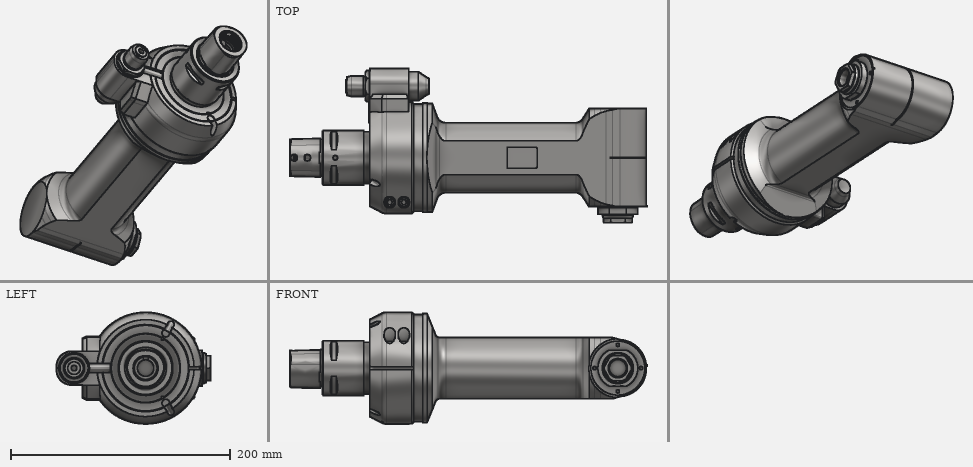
import cadquery as cq
import math


polygon_radius = 17.7
polygon_lobe = 0.9
polygon_taper = 1.4
polygon_length = 28.0
polygon_chamfer = 1.2
flange_start = 29.7
flange_end = 67.5
flange_radius = 25.0
flange_chamfer = 1.0
undercut_radius = 17.0
undercut_overlap = 1.0
face_relief_radius = 19.0
face_relief_depth = 0.8
neck_radius = 23.7
neck_engagement = 8.0

bore_radius = 10.5
bore_mouth_radius = 11.5
bore_depth = 14.0
bore_groove_radius = 11.3
bore_groove_width = 1.5
bore_groove_places = (3.5, 6.5, 9.5)
bore_end_radius = 7.5
bore_end_depth = 25.0

shank_hole_diameter = 6.0
shank_hole_places = (3.9, 16.0)
flange_hole_diameter = 4.2
flange_hole_x = 41.5
flange_hole_depth = 4.0

gripper_x = 40.2
gripper_floor_width = 4.0
gripper_mouth_width = 7.0
gripper_floor_distance = 22.1

collar_start = 72.7
collar_end = 113.2
collar_radius = 51.0
collar_face_radius = 44.2
collar_bore_radius = 39.0
collar_bore_chamfer = 0.8
collar_cone_end = 83.7
collar_round_end = 87.8
collar_round_drop = 1.1
collar_rear_chamfer = 1.9
slit_width = 2.8

screw_places = (91.1, 104.0)
screw_y = -40.6
screw_bore_diameter = 10.4
screw_bore_floor = 18.0
screw_head_diameter = 8.0
screw_head_top = 24.5
socket_across_corners = 5.0
socket_depth = 3.0

nozzle_diameter = 6.1
nozzle_face_radius = 40.8
nozzle_tilt = 55.0
nozzle_angles = (-30.0, -150.0)

lug_start = 73.1
lug_end = 108.5
lug_top_y = 81.4
lug_round = 14.0
lug_half_width = 15.5
block_half_width = 29.1
block_top_y = 57.7
block_foot_y = 30.0
block_corner = 1.5
block_chamfer_y = 4.0
block_chamfer_z = 2.0

unit_y = 65.2
unit_hole_radius = 9.5
nut_start = 68.8
nut_across_corners = 28.8
nut_face_radius = 12.8
washer_radius = 14.0
washer_thickness = 0.8
unit_tip = 51.0
unit_tip_radius = 5.8
unit_cone_start = 52.1
unit_cone_radius = 8.4
unit_neck_start = 56.2
unit_neck_radius = 9.5
unit_relief_start = 67.0
unit_relief_radius = 9.0
unit_cap_radius = 13.4
unit_cap_shoulder = 117.0
unit_cap_bend = 123.8
unit_cap_bend_radius = 8.8
unit_cap_end = 127.0
unit_cap_end_radius = 7.0
unit_bore_radius = 2.5
unit_bore_depth = 8.0
bar_diameter = 8.0
bar_tip_y = 32.0
bar_slot_width = 8.8
bar_x = collar_start + 3.5

nose_seal_radius = 31.7
nose_seal_width = 0.5
nose_seal_depth = 0.5
rim_start = 121.3
rim_step = 125.2
rim_end = 129.9
rim_radius = 50.0
rim_rear_radius = 49.6
groove_radius = 49.0
arm_radius = 32.0
arm_half_height = 28.1
front_flare_radius = 8.0
rear_flare_radius = 7.3
flare_angle = 65.0
arm_front = 142.0
arm_rear = 260.7
relief_front = 125.0
relief_rear = 134.0
relief_fillet = 3.5

face_spot_diameter = 7.0
face_spot_radius = 36.8
face_spot_depth = 0.5
face_pin_diameter = 2.6
face_pin_radius = 30.9
face_pin_depth = 3.0

label_start = 198.5
label_length = 27.0
label_width = 19.2
label_corner = 1.5
label_depth = 0.3

head_x = 299.1
head_radius = 26.1
head_front_y = -44.6
head_rear_y = 45.0
head_ball_radius = math.hypot(head_rear_y, head_radius)
head_facet_places = (273.0, 277.4, 283.2)
head_flat_bend = 288.0
head_flat_end = 294.2
head_blend_end = 300.9
head_flat_drop = 0.1
head_groove_start = 292.0
head_groove_width = 0.8
head_groove_radius = 25.5
index_pip_radius = 0.5
index_pip_z = 2.4
index_pip_end = 325.9

cover_radius = 24.6
cover_recess = 0.3
cover_hole_diameter = 3.0
cover_hole_radius = 21.2
cover_hole_depth = 3.0

spindle_socket_radius = 16.5
spindle_socket_depth = 3.0
ring_radius = 18.2
ring_flat_distance = 16.5
ring_start = 45.6
ring_end = 51.6
cone_radius = 14.2
cone_collar = 1.0
cone_end = 55.2
hex_end = 59.35
hex_across_corners = 26.4
hex_end_chamfer = 0.8
output_bore_radius = 7.8
output_mouth_radius = 8.8
output_bore_depth = 9.0


def turned(points):
    """A solid of revolution about X from (x, radius) points, closed along the axis."""
    closed = [(points[0][0], 0)] + points + [(points[-1][0], 0)]
    return cq.Workplane("XY").polyline(closed).close().revolve(360, (0, 0, 0), (1, 0, 0))


def rod_x(x, y, z, radius, length):
    """A rod that starts at (x, y, z) and runs in +X."""
    solid = cq.Solid.makeCylinder(radius, length, cq.Vector(x, y, z), cq.Vector(1, 0, 0))
    return cq.Workplane(obj=solid)


def rod_y(x, y, z, radius, length):
    """A rod that starts at (x, y, z) and runs in +Y."""
    solid = cq.Solid.makeCylinder(radius, length, cq.Vector(x, y, z), cq.Vector(0, 1, 0))
    return cq.Workplane(obj=solid)


def rod_z(x, y, z, radius, length):
    """A rod that starts at (x, y, z) and runs in +Z."""
    solid = cq.Solid.makeCylinder(radius, length, cq.Vector(x, y, z), cq.Vector(0, 0, 1))
    return cq.Workplane(obj=solid)


def block(x_range, y_range, z_range):
    """A box between two limits along each axis."""
    sizes = [high - low for low, high in (x_range, y_range, z_range)]
    return cq.Workplane("XY", origin=(x_range[0], y_range[0], z_range[0])).box(*sizes, centered=False)


def polar(radius, angle):
    """A point at a radius and an angle in degrees."""
    return (radius * math.cos(math.radians(angle)), radius * math.sin(math.radians(angle)))


def polygon_shank():
    """The tapered shank of constant width: three lobes and three flatter sides, all arcs.

    Every arc spans 60 degrees about a corner of an equilateral triangle. One lobe points to -Z.
    """
    taper = math.tan(math.radians(polygon_taper))
    tip_radius = polygon_radius - polygon_length * taper
    corner = polygon_lobe / (1 - math.sqrt(3) / 2)
    lobe_arc = polygon_radius - corner * math.sqrt(3) / 2

    def lobe_end(lobe_angle, turn):
        centre = polar(corner, lobe_angle)
        offset = polar(lobe_arc, lobe_angle + turn)
        return (centre[0] + offset[0], centre[1] + offset[1])

    outline = cq.Workplane("YZ", origin=(polygon_length, 0, 0)).moveTo(*lobe_end(-90, -30))
    for lobe_angle in (-90, 30, 150):
        lobe_tip = polar(polygon_radius + polygon_lobe, lobe_angle)
        side_middle = polar(polygon_radius - polygon_lobe, lobe_angle + 60)
        outline = outline.threePointArc(lobe_tip, lobe_end(lobe_angle, 30))
        outline = outline.threePointArc(side_middle, lobe_end(lobe_angle + 120, -30))
    shank = outline.close().extrude(-polygon_length, taper=polygon_taper)
    outer = tip_radius + polygon_lobe
    end_cone = turned(
        [(0, outer - polygon_chamfer), (outer, 2 * outer - polygon_chamfer), (polygon_length, 2 * outer)]
    )
    return shank.intersect(end_cone)


def gripper_groove():
    """A straight groove with sloping walls across the top of the flange."""
    half_floor = gripper_floor_width / 2
    half_mouth = gripper_mouth_width / 2
    return (
        cq.Workplane("XZ", origin=(gripper_x, flange_radius, 0))
        .polyline(
            [
                (-half_floor, gripper_floor_distance),
                (half_floor, gripper_floor_distance),
                (half_mouth, flange_radius),
                (-half_mouth, flange_radius),
            ]
        )
        .close()
        .extrude(2 * flange_radius)
    )


def make_shank():
    body = turned(
        [
            (polygon_length - undercut_overlap, undercut_radius),
            (flange_start + face_relief_depth, undercut_radius),
            (flange_start + face_relief_depth, face_relief_radius),
            (flange_start, face_relief_radius),
            (flange_start, flange_radius - flange_chamfer),
            (flange_start + flange_chamfer, flange_radius),
            (flange_end, flange_radius),
            (flange_end, neck_radius),
            (collar_start + neck_engagement, neck_radius),
        ]
    )
    body = body.union(polygon_shank())
    mouth_depth = bore_mouth_radius - bore_radius
    body = body.cut(
        turned(
            [
                (0, bore_mouth_radius),
                (mouth_depth, bore_radius),
                (bore_depth, bore_radius),
                (bore_depth, bore_end_radius),
                (bore_end_depth, bore_end_radius),
            ]
        )
    )
    for x in bore_groove_places:
        body = body.cut(rod_x(x, 0, 0, bore_groove_radius, bore_groove_width))
    for x in shank_hole_places:
        body = body.cut(rod_z(x, 0, 0, shank_hole_diameter / 2, flange_radius))
    hole_floor = flange_radius - flange_hole_depth
    body = body.cut(rod_z(flange_hole_x, 0, hole_floor, flange_hole_diameter / 2, flange_hole_depth))
    for quarter in range(4):
        body = body.cut(gripper_groove().rotate((0, 0, 0), (1, 0, 0), 45 + 90 * quarter))
    return body


def round_shoulder(outline, end_x, end_height):
    """Continue an outline with an arc that arrives parallel to X at the given point."""
    run = end_x - collar_cone_end
    radius = (run**2 + collar_round_drop**2) / (2 * collar_round_drop)
    half_angle = math.asin(run / radius) / 2
    middle = (
        end_x - radius * math.sin(half_angle),
        end_height - radius * (1 - math.cos(half_angle)),
    )
    return outline.threePointArc(middle, (end_x, end_height))


def collar_ring():
    outline = (
        cq.Workplane("XY")
        .moveTo(collar_start, 0)
        .lineTo(collar_start, collar_face_radius)
        .lineTo(collar_cone_end, collar_radius - collar_round_drop)
    )
    return (
        round_shoulder(outline, collar_round_end, collar_radius)
        .lineTo(collar_end - collar_rear_chamfer, collar_radius)
        .lineTo(collar_end, collar_radius - collar_rear_chamfer)
        .lineTo(collar_end, 0)
        .close()
        .revolve(360, (0, 0, 0), (1, 0, 0))
    )


def lug_block():
    """The wide foot of the lug, with a sloping front and chamfered top corners."""
    shoulder_y = block_top_y - block_chamfer_y
    outline = (
        cq.Workplane("XZ", origin=(0, shoulder_y, 0))
        .moveTo(lug_start, 0)
        .lineTo(lug_start, lug_half_width)
        .lineTo(collar_cone_end, block_half_width - collar_round_drop)
    )
    half = (
        round_shoulder(outline, collar_round_end, block_half_width)
        .lineTo(lug_end, block_half_width)
        .lineTo(lug_end, 0)
        .close()
        .extrude(shoulder_y - block_foot_y)
    )
    half = half.edges("|Y and >X and >Z").fillet(block_corner)
    slope = math.degrees(math.atan(block_chamfer_z / block_chamfer_y))
    half = half.faces(">Y").wires().toPending().extrude(-block_chamfer_y, taper=slope)
    return half.union(half.mirror("XY"))


def lug():
    """The arm of the lug, with a rounded end."""
    arm = block(
        (lug_start, lug_end),
        (block_foot_y, lug_top_y),
        (-lug_half_width, lug_half_width),
    )
    return arm.edges("|X and >Y").fillet(lug_round)


def nozzle_groove(angle):
    """A round groove that slopes back and outwards over the cone of the collar."""
    tilt = math.radians(nozzle_tilt)
    direction = cq.Vector(math.cos(tilt), 0, -math.sin(tilt))
    start = cq.Vector(collar_start, 0, -nozzle_face_radius) - direction * nozzle_diameter
    solid = cq.Solid.makeCylinder(nozzle_diameter / 2, collar_radius, start, direction)
    return cq.Workplane(obj=solid).rotate((0, 0, 0), (1, 0, 0), angle)


def clamp_screw_bore(x):
    """The counterbore around a clamp screw head, with the socketed head left standing."""
    bore = rod_z(x, screw_y, screw_bore_floor, screw_bore_diameter / 2, collar_radius)
    head = rod_z(x, screw_y, screw_bore_floor, screw_head_diameter / 2, screw_head_top - screw_bore_floor)
    socket = (
        cq.Workplane("XY", origin=(x, screw_y, screw_head_top - socket_depth))
        .polygon(6, socket_across_corners)
        .extrude(socket_depth)
    )
    return bore.cut(head.cut(socket))


def bar_slot():
    """The slot in the front face that the locking bar lies in."""
    half = bar_slot_width / 2
    channel = block((collar_start, bar_x), (bar_tip_y, unit_y), (-half, half))
    return channel.union(rod_y(bar_x, bar_tip_y, 0, half, unit_y - bar_tip_y))


def make_collar():
    body = collar_ring().union(lug_block()).union(lug())
    body = body.cut(rod_x(collar_start, 0, 0, collar_bore_radius, collar_end - collar_start))
    body = body.cut(
        turned(
            [
                (collar_start, collar_bore_radius + collar_bore_chamfer),
                (collar_start + collar_bore_chamfer, collar_bore_radius),
            ]
        )
    )
    half_slit = slit_width / 2
    body = body.cut(block((collar_start, collar_end), (-collar_radius, 0), (-half_slit, half_slit)))
    for x in screw_places:
        body = body.cut(clamp_screw_bore(x))
    for angle in nozzle_angles:
        body = body.cut(nozzle_groove(angle))
    body = body.cut(bar_slot())
    return body.cut(rod_x(collar_start, unit_y, 0, unit_hole_radius, lug_end - collar_start))


def make_locking_unit():
    """The spring plunger through the lug, its nut, and the bar that reaches the arm."""
    body = turned(
        [
            (unit_tip, unit_tip_radius),
            (unit_cone_start, unit_tip_radius),
            (unit_cone_start, unit_cone_radius),
            (unit_neck_start, unit_neck_radius),
            (unit_relief_start, unit_neck_radius),
            (unit_relief_start, unit_relief_radius),
            (nut_start, unit_relief_radius),
            (nut_start, unit_hole_radius),
            (lug_end, unit_hole_radius),
            (lug_end, unit_cap_radius),
            (unit_cap_shoulder, unit_cap_radius),
            (unit_cap_bend, unit_cap_bend_radius),
            (unit_cap_end, unit_cap_end_radius),
        ]
    ).translate((0, unit_y, 0))
    nut = (
        cq.Workplane("YZ", origin=(nut_start, unit_y, 0))
        .polygon(6, nut_across_corners)
        .extrude(lug_start - washer_thickness - nut_start)
    )
    nut_rise = nut_across_corners / 2 - nut_face_radius
    nut_cone = turned(
        [
            (nut_start, nut_face_radius),
            (nut_start + nut_rise, nut_face_radius + nut_rise),
            (lug_start, nut_face_radius + nut_rise),
        ]
    )
    nut = nut.intersect(nut_cone.translate((0, unit_y, 0)))
    washer = rod_x(lug_start - washer_thickness, unit_y, 0, washer_radius, washer_thickness)
    bar = rod_y(bar_x, bar_tip_y, 0, bar_diameter / 2, unit_y - bar_tip_y)
    body = body.union(nut).union(washer).union(bar)
    return body.cut(rod_x(unit_tip, unit_y, 0, unit_bore_radius, unit_bore_depth))


def arm_turning():
    """The nose, rim, round arm and ball-shaped head as one solid of revolution."""
    flare = math.radians(flare_angle)

    def flare_step(radius, angle):
        """The run along X and the rise of a flare fillet after turning by an angle."""
        return (radius * math.sin(angle), radius * (1 - math.cos(angle)))

    front_run, front_rise = flare_step(front_flare_radius, flare)
    front_half_run, front_half_rise = flare_step(front_flare_radius, flare / 2)
    rear_run, rear_rise = flare_step(rear_flare_radius, flare)
    rear_half_run, rear_half_rise = flare_step(rear_flare_radius, flare / 2)

    def ball(x):
        return math.sqrt(head_ball_radius**2 - (x - head_x) ** 2)

    ball_middle = (head_facet_places[-1] + head_x) / 2
    return (
        cq.Workplane("XY")
        .moveTo(collar_start, 0)
        .lineTo(collar_start, collar_bore_radius)
        .lineTo(collar_end, collar_bore_radius)
        .lineTo(collar_end, groove_radius)
        .lineTo(rim_start, groove_radius)
        .lineTo(rim_start, rim_radius)
        .lineTo(rim_step, rim_radius)
        .lineTo(rim_step, rim_rear_radius)
        .lineTo(rim_end, rim_rear_radius)
        .lineTo(arm_front - front_run, arm_radius + front_rise)
        .threePointArc(
            (arm_front - front_half_run, arm_radius + front_half_rise),
            (arm_front, arm_radius),
        )
        .lineTo(arm_rear, arm_radius)
        .threePointArc(
            (arm_rear + rear_half_run, arm_radius + rear_half_rise),
            (arm_rear + rear_run, arm_radius + rear_rise),
        )
        .polyline([(x, ball(x)) for x in head_facet_places], includeCurrent=True)
        .threePointArc((ball_middle, ball(ball_middle)), (head_x, head_ball_radius))
        .lineTo(head_x + head_radius, head_ball_radius)
        .lineTo(head_x + head_radius, 0)
        .close()
        .revolve(360, (0, 0, 0), (1, 0, 0))
    )


def arm_side_outline():
    """The side outline: flats above and below the arm and a round end at the head."""
    blend_z = math.sqrt(head_radius**2 - (head_blend_end - head_x) ** 2)
    upper = (
        cq.Workplane("XZ", origin=(0, collar_radius, 0))
        .moveTo(collar_start, 0)
        .lineTo(collar_start, collar_radius)
        .lineTo(relief_front, collar_radius)
        .lineTo(relief_front, rim_radius)
        .lineTo(relief_rear, arm_half_height)
        .lineTo(head_flat_bend, arm_half_height)
        .lineTo(head_flat_end, arm_half_height - head_flat_drop)
        .lineTo(head_blend_end, blend_z)
        .threePointArc(
            (head_x + head_radius * math.cos(math.pi / 4), head_radius * math.sin(math.pi / 4)),
            (head_x + head_radius, 0),
        )
        .close()
        .extrude(2 * collar_radius)
    )
    corner = cq.selectors.NearestToPointSelector((relief_rear, 0, arm_half_height))
    upper = upper.edges(corner).fillet(relief_fillet)
    return upper.union(upper.mirror("XY"))


def face_details(angle):
    """A shallow spot and a small pin hole in the nose, in line with a nozzle groove."""
    spot = rod_x(collar_start, 0, -face_spot_radius, face_spot_diameter / 2, face_spot_depth)
    pin_hole = rod_x(collar_start, 0, -face_pin_radius, face_pin_diameter / 2, face_pin_depth)
    return spot.union(pin_hole).rotate((0, 0, 0), (1, 0, 0), angle)


def make_arm():
    body = arm_turning().intersect(arm_side_outline())
    for y_range in ((-collar_radius, head_front_y), (head_rear_y, collar_radius)):
        body = body.cut(block((arm_rear, head_x + head_radius), y_range, (-collar_radius, collar_radius)))
    body = body.cut(rod_x(collar_start, 0, 0, neck_radius, neck_engagement))
    seal = rod_x(collar_start, 0, 0, nose_seal_radius, nose_seal_depth)
    body = body.cut(seal.cut(rod_x(collar_start, 0, 0, nose_seal_radius - nose_seal_width, nose_seal_depth)))
    for angle in nozzle_angles:
        body = body.cut(face_details(angle))
    body = body.cut(bar_slot())
    label = block(
        (label_start, label_start + label_length),
        (-label_width / 2, label_width / 2),
        (arm_half_height - label_depth, arm_half_height),
    )
    body = body.cut(label.edges("|Z and >X").fillet(label_corner))
    groove = block(
        (head_groove_start, head_x + head_radius),
        (-head_groove_width / 2, head_groove_width / 2),
        (-arm_half_height, arm_half_height),
    )
    core = rod_y(head_x, -head_groove_width / 2, 0, head_groove_radius, head_groove_width)
    body = body.cut(groove.cut(core))
    pip_y = head_front_y + index_pip_radius
    body = body.union(rod_x(head_x, pip_y, index_pip_z, index_pip_radius, index_pip_end - head_x))
    cover_y = head_front_y + cover_recess
    body = body.cut(rod_y(head_x, head_front_y, 0, cover_radius, cover_recess))
    for quarter in range(4):
        angle = math.pi / 2 * quarter
        x = head_x + cover_hole_radius * math.cos(angle)
        z = cover_hole_radius * math.sin(angle)
        body = body.cut(rod_y(x, cover_y, z, cover_hole_diameter / 2, cover_hole_depth))
    return body.cut(rod_y(head_x, cover_y, 0, spindle_socket_radius, spindle_socket_depth))


def make_output_spindle():
    """The spindle nose and its hexagonal clamping nut, turned about the output axis."""
    seat = -head_front_y - cover_recess - spindle_socket_depth
    hex_radius = hex_across_corners / 2
    outline = [
        (0, seat),
        (spindle_socket_radius, seat),
        (spindle_socket_radius, ring_start),
        (ring_radius, ring_start),
        (ring_radius, ring_end),
        (cone_radius, ring_end),
        (cone_radius, ring_end + cone_collar),
        (hex_radius, cone_end),
        (hex_radius, hex_end - hex_end_chamfer),
        (hex_radius - hex_end_chamfer, hex_end),
        (0, hex_end),
    ]
    body = cq.Workplane("XY").polyline(outline).close().revolve(360, (0, 0, 0), (0, 1, 0))

    for near, far in ((-ring_radius, -ring_flat_distance), (ring_flat_distance, ring_radius)):
        body = body.cut(block((-ring_radius, ring_radius), (ring_start, ring_end), (near, far)))
    outside_hexagon = (
        cq.Workplane("XZ", origin=(0, hex_end, 0))
        .circle(ring_radius)
        .polygon(6, hex_across_corners)
        .extrude(hex_end - cone_end)
    )
    body = body.cut(outside_hexagon)
    mouth = output_mouth_radius - output_bore_radius
    bore = [
        (0, hex_end),
        (output_mouth_radius, hex_end),
        (output_bore_radius, hex_end - mouth),
        (output_bore_radius, hex_end - output_bore_depth),
        (0, hex_end - output_bore_depth),
    ]
    body = body.cut(cq.Workplane("XY").polyline(bore).close().revolve(360, (0, 0, 0), (0, 1, 0)))
    return body.rotate((0, 0, 0), (0, 0, 1), 180).translate((head_x, 0, 0))


shank = make_shank()
collar = make_collar()
locking_unit = make_locking_unit()
arm = make_arm()
output_spindle = make_output_spindle()

bodies = [shank, collar, locking_unit, arm, output_spindle]
result = cq.Compound.makeCompound([solid for body in bodies for solid in body.solids().vals()])